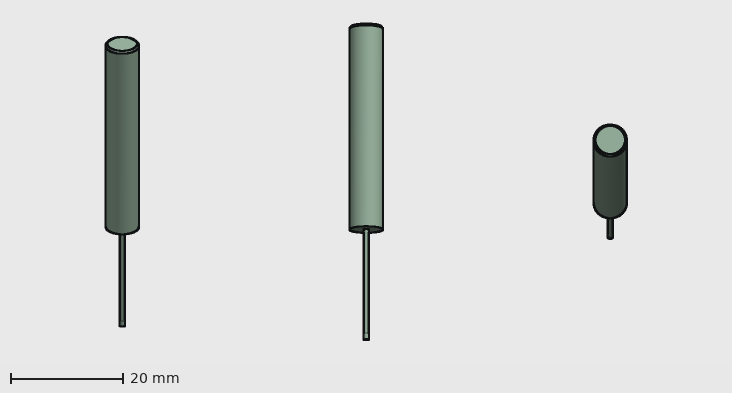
import cadquery as cq

total_length = 57.0
body_diameter = 6.0
body_length = 37.0
body_chamfer_height = 0.4
body_chamfer_inset = 0.35

wire_diameter = 0.95
tip_diameter = 1.0
tip_length = 1.2
shoulder_length = 0.15

wire_length = total_length - body_length
shoulder_step = (tip_diameter - wire_diameter) / 2


def cylinder(diameter, bottom, height):
    """Upright cylinder on the Z axis, starting at the given height."""
    return cq.Workplane("XY", origin=(0, 0, bottom)).circle(diameter / 2).extrude(height)


body = cylinder(body_diameter, wire_length, body_length)
body = body.faces(">Z").chamfer(body_chamfer_height, body_chamfer_inset)
wire = cylinder(wire_diameter, tip_length, wire_length - tip_length)
tip = cylinder(tip_diameter, 0, tip_length).faces(">Z").chamfer(shoulder_length, shoulder_step)

result = body.union(wire).union(tip)